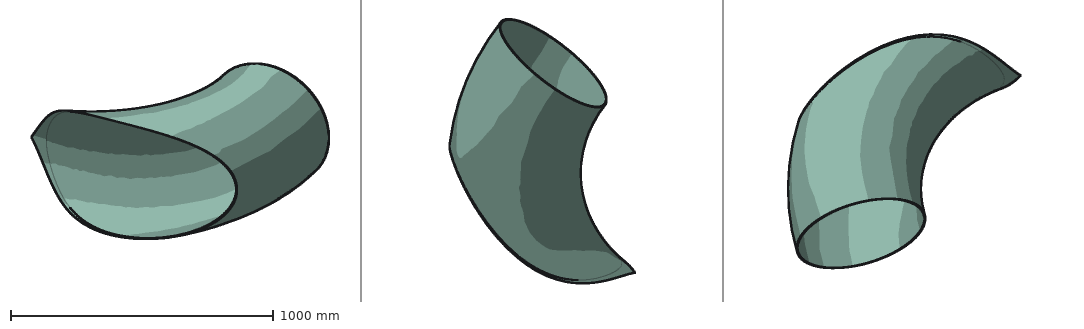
import cadquery as cq

pipe_diameter = 508.0
wall = 4.0
bend_radius = 1.5 * pipe_diameter
bend_angle = 90
header_radius = 305.0

pipe_radius = pipe_diameter / 2
inner_bend_radius = bend_radius - pipe_radius
outer_bend_radius = bend_radius + pipe_radius


def make_elbow():
    """Revolve the pipe ring about the Z axis, from the +X side towards -Y."""
    ring = (
        cq.Workplane("XZ")
        .center(bend_radius, 0)
        .circle(pipe_radius)
        .circle(pipe_radius - wall)
    )
    bend_centre = (-bend_radius, 0)
    below_bend_centre = (-bend_radius, -1)
    return ring.revolve(bend_angle, bend_centre, below_bend_centre)


def make_header():
    """Solid header along X, touching the inside of the bend at its -Y end."""
    header_axis_y = -(inner_bend_radius + header_radius)
    return (
        cq.Workplane("ZY")
        .center(0, header_axis_y)
        .circle(header_radius)
        .extrude(outer_bend_radius + pipe_radius, both=True)
    )


result = make_elbow().cut(make_header())